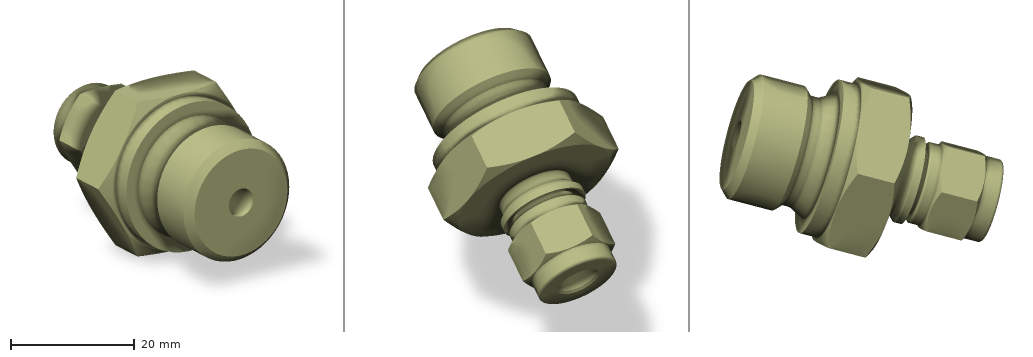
import cadquery as cq
import math

TOTAL_LENGTH = 43.45

NOSE_DIAMETER = 13.9
NOSE_ROUND = 0.48
NUT_HEX_START = 3.0
NUT_HEX_END = 10.6
NUT_ACROSS_FLATS = 14.25
NUT_COLLAR_DIAMETER = 13.6
NUT_COLLAR_END = 12.6
COLLAR_CHAMFER = 0.25

NECK_DIAMETER = 11.1
NECK_END = 14.05
NECK_ROOT_DIAMETER = 9.4
RING_DIAMETER = 14.6
RING_START = 13.5
RING_END = 14.73
RING_RECESS_DIAMETER = 13.9
SHOULDER_DIAMETER = 12.6
SHOULDER_CHAMFER = 0.3

BODY_HEX_START = 17.8
BODY_HEX_END = 26.45
BODY_ACROSS_FLATS = 27.0
FLANGE_DIAMETER = 25.8
FLANGE_END = 29.35

THREAD_DIAMETER = 21.0
RELIEF_DIAMETER = 18.4
RELIEF_START = 31.95
RELIEF_END = 33.4

BORE_DIAMETER = 4.82
SOCKET_DIAMETER = 6.55
SOCKET_DEPTH = 12.6
SOCKET_MOUTH_CHAMFER = 0.4

CONE_SLOPE = math.tan(math.radians(30))


def turned(points):
    """Revolve an outline of (x, radius) points about the X axis."""
    return cq.Workplane("XY").polyline(points).close().revolve(360, (0, 0, 0), (1, 0, 0))


def cylinder(start, end, diameter):
    return cq.Workplane("YZ").workplane(offset=start).circle(diameter / 2).extrude(end - start)


def chamfered_hexagon(start, end, across_flats, start_diameter, end_diameter):
    """Hexagon with corners on Y, trimmed at both ends by 30 degree cones."""
    across_corners = across_flats / math.cos(math.radians(30))
    corner_radius = across_corners / 2
    start_radius = start_diameter / 2
    end_radius = end_diameter / 2
    start_run = (corner_radius - start_radius) * CONE_SLOPE
    end_run = (corner_radius - end_radius) * CONE_SLOPE
    hexagon = (
        cq.Workplane("YZ").workplane(offset=start)
        .polygon(6, across_corners).extrude(end - start)
    )
    envelope = turned([
        (start, 0),
        (start, start_radius),
        (start + start_run, corner_radius),
        (end - end_run, corner_radius),
        (end, end_radius),
        (end, 0),
    ])
    return hexagon.intersect(envelope)


def compression_nut():
    nose = cylinder(0, NUT_HEX_START, NOSE_DIAMETER).faces("<X").edges().fillet(NOSE_ROUND)
    hexagon = chamfered_hexagon(
        NUT_HEX_START, NUT_HEX_END, NUT_ACROSS_FLATS, NOSE_DIAMETER, NUT_COLLAR_DIAMETER
    )
    collar = cylinder(NUT_HEX_END, NUT_COLLAR_END, NUT_COLLAR_DIAMETER)
    collar = collar.faces(">X").edges().chamfer(COLLAR_CHAMFER)
    return nose.union(hexagon).union(collar)


def neck():
    """Grooved neck with a ring that is dished by a 45 degree cone on its nut side."""
    neck_radius = NECK_DIAMETER / 2
    root_radius = NECK_ROOT_DIAMETER / 2
    ring_radius = RING_DIAMETER / 2
    shoulder_radius = SHOULDER_DIAMETER / 2
    recess_radius = RING_RECESS_DIAMETER / 2
    recess_cone_end = RING_START + recess_radius - root_radius
    ring_cone_end = RING_END + ring_radius - shoulder_radius
    return turned([
        (NUT_COLLAR_END, 0),
        (NUT_COLLAR_END, neck_radius),
        (NECK_END, neck_radius),
        (NECK_END, root_radius),
        (recess_cone_end, root_radius),
        (RING_START, recess_radius),
        (RING_START, ring_radius),
        (RING_END, ring_radius),
        (ring_cone_end, shoulder_radius),
        (BODY_HEX_START - SHOULDER_CHAMFER, shoulder_radius),
        (BODY_HEX_START, shoulder_radius - SHOULDER_CHAMFER),
        (BODY_HEX_START, 0),
    ])


def body_hexagon():
    return chamfered_hexagon(
        BODY_HEX_START, BODY_HEX_END, BODY_ACROSS_FLATS, BODY_ACROSS_FLATS, BODY_ACROSS_FLATS
    )


def flange():
    return cylinder(BODY_HEX_END, FLANGE_END, FLANGE_DIAMETER)


def threaded_end():
    """Plain thread cylinder with a relief groove, conical run-in and 45 degree chamfers."""
    thread_radius = THREAD_DIAMETER / 2
    relief_radius = RELIEF_DIAMETER / 2
    thread_depth = thread_radius - relief_radius
    return turned([
        (FLANGE_END, 0),
        (FLANGE_END, thread_radius),
        (RELIEF_START, relief_radius),
        (RELIEF_END, relief_radius),
        (RELIEF_END + thread_depth, thread_radius),
        (TOTAL_LENGTH - thread_depth, thread_radius),
        (TOTAL_LENGTH, relief_radius),
        (TOTAL_LENGTH, 0),
    ])


def bore():
    """Through bore with a tube socket that is chamfered at its mouth."""
    bore_radius = BORE_DIAMETER / 2
    socket_radius = SOCKET_DIAMETER / 2
    return turned([
        (0, 0),
        (0, socket_radius + SOCKET_MOUTH_CHAMFER),
        (SOCKET_MOUTH_CHAMFER, socket_radius),
        (SOCKET_DEPTH, socket_radius),
        (SOCKET_DEPTH, bore_radius),
        (TOTAL_LENGTH, bore_radius),
        (TOTAL_LENGTH, 0),
    ])


solid_fitting = compression_nut()
for section in (neck(), body_hexagon(), flange(), threaded_end()):
    solid_fitting = solid_fitting.union(section)

result = solid_fitting.cut(bore())